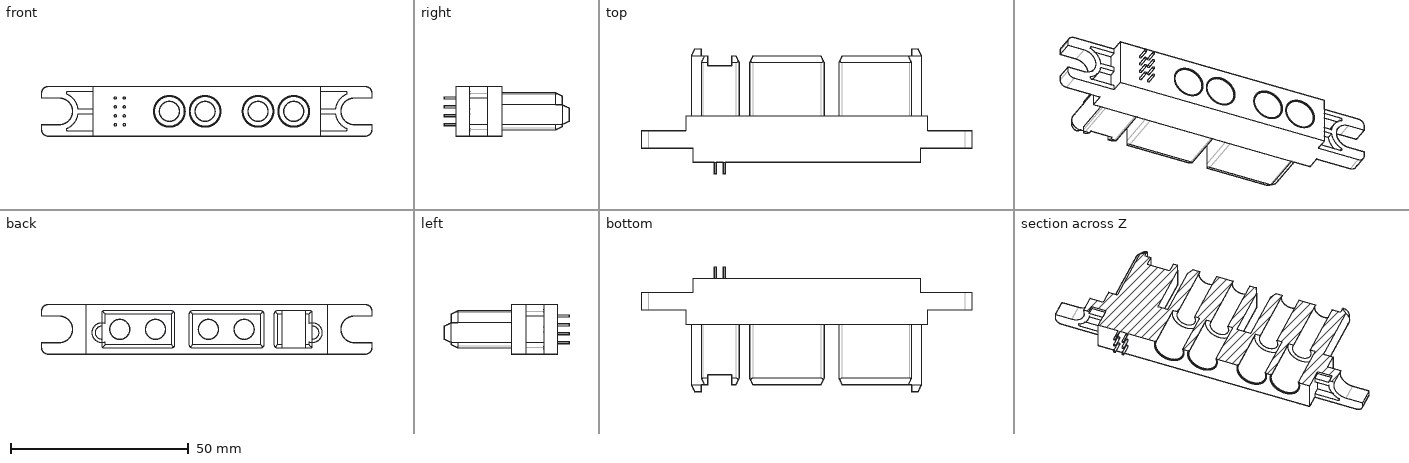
import cadquery as cq
import math

length = 93.0
height = 14.0
body_depth = 13.0
front_width = 64.1
rear_width = 68.0
ear_front = 3.9
ear_back = 8.9
ear_corner_radius = 1.95
slot_radius = 3.7
slot_center_from_end = 5.0

pocket_depth = 2.0
pocket_arc_radius = 5.3
pocket_tip_offset = 2.0
pocket_half_height = 5.6
pocket_tip_fillet = 0.4
rib_thickness = 1.4

signal_block = (-29.7, -19.0)
middle_block = (-16.1, 4.9)
right_block = (9.0, 29.5)
block_height = 10.5
block_length = 16.9
block_edge_radius = 0.9
post_side_edge_radius = 0.6
tip_length = 1.95
tip_inset = 0.9
notch_width = 6.7
notch_depth = 2.8

post_radius = 2.8
post_length = 18.9
post_z = -0.9

hole_pitch = 10.0
hole_centers = [-5.5, 19.4]
hole_diameter = 5.6
bore_diameter = 8.4
bore_depth = body_depth
rim_diameter = 8.9
rim_depth = 0.3

pin_diameter = 0.65
pin_length = 3.3
pin_pitch = 2.5
pin_columns = 2
pin_rows = 4
pin_center_x = -24.5

block_back = body_depth + block_length
post_back = body_depth + post_length


def box(x_range, y_range, z_range):
    """Box between the given limits on each axis."""
    sizes = [high - low for low, high in (x_range, y_range, z_range)]
    corner = (x_range[0], y_range[0], z_range[0])
    return cq.Workplane("XY").box(*sizes, centered=False).translate(corner)


def xz_plane(y):
    """Workplane at the given Y with local x = X and local y = Z; its normal is -Y."""
    return cq.Workplane("XZ", origin=(0, y, 0))


def cylinder(x, z, radius, y_start, y_end):
    """Cylinder along Y."""
    return xz_plane(y_start).center(x, z).circle(radius).extrude(y_start - y_end)


def centered(size):
    """Limits of a span centred on zero."""
    return (-size / 2, size / 2)


def make_body():
    full_height = centered(height)
    ears = box(centered(length), (ear_front, ear_back), full_height)
    ears = ears.edges("|Y").fillet(ear_corner_radius)
    front = box(centered(front_width), (0, ear_back), full_height)
    rear = box(centered(rear_width), (ear_front, body_depth), full_height)
    rear = rear.cut(box(centered(length), (ear_front, ear_back), full_height))
    return ears.union(front).union(rear)


def make_ear_cutout():
    """Open slot and two front pockets of the left ear."""
    end = -length / 2
    center = end + slot_center_from_end
    slot = box((end, center), (ear_front, ear_back), (-slot_radius, slot_radius))
    slot = slot.union(cylinder(center, 0, slot_radius, ear_front, ear_back))

    floor = ear_front + pocket_depth
    pocket = box(
        (center + pocket_tip_offset, -front_width / 2),
        (ear_front, floor),
        centered(2 * pocket_half_height),
    )
    pocket = pocket.edges("|Y and <X").fillet(pocket_tip_fillet)
    rib = box(centered(length), (ear_front, floor), centered(rib_thickness))
    slot_wall = cylinder(center, 0, pocket_arc_radius, ear_front, floor)
    return slot.union(pocket.cut(rib).cut(slot_wall))


def make_block(sides, left_radius, right_radius):
    """Rear block with rounded long edges and a tip bevelled on all four sides."""
    shoulder = block_back - tip_length
    shank = box(sides, (body_depth, shoulder), centered(block_height))
    taper_angle = math.degrees(math.atan(tip_inset / tip_length))
    tip = xz_plane(shoulder).center(sum(sides) / 2, 0)
    tip = tip.rect(sides[1] - sides[0], block_height).extrude(-tip_length, taper=taper_angle)

    envelope = box(sides, (body_depth, block_back), centered(block_height))
    envelope = envelope.edges("|Y and <X").fillet(left_radius)
    envelope = envelope.edges("|Y and >X").fillet(right_radius)
    return shank.union(tip).intersect(envelope)


def make_post(x, side):
    """Round post centred on a block face; past the block only its outer half (side) remains."""
    post = cylinder(x, post_z, post_radius, body_depth, post_back)
    post = post.faces(">Y").chamfer(tip_length, tip_inset)
    inner_half = box(
        sorted((x, x - side * post_radius)),
        (block_back, post_back),
        (post_z - post_radius, post_z + post_radius),
    )
    return post.cut(inner_half)


def make_pins():
    pins = xz_plane(0).center(pin_center_x, 0)
    pins = pins.rarray(pin_pitch, pin_pitch, pin_columns, pin_rows)
    return pins.circle(pin_diameter / 2).extrude(pin_length)


result = make_body()

left_cutout = make_ear_cutout()
result = result.cut(left_cutout).cut(left_cutout.mirror("YZ"))

result = result.union(make_block(signal_block, post_side_edge_radius, block_edge_radius))
result = result.union(make_block(middle_block, block_edge_radius, block_edge_radius))
result = result.union(make_block(right_block, block_edge_radius, post_side_edge_radius))

result = result.union(make_post(signal_block[0], -1))
result = result.union(make_post(right_block[1], 1))

notch = box(
    (pin_center_x - notch_width / 2, pin_center_x + notch_width / 2),
    (block_back - notch_depth, block_back),
    centered(block_height),
)
result = result.cut(notch)

for pair_center in hole_centers:
    for x in (pair_center - hole_pitch / 2, pair_center + hole_pitch / 2):
        result = result.cut(cylinder(x, 0, hole_diameter / 2, 0, block_back))
        result = result.cut(cylinder(x, 0, bore_diameter / 2, 0, bore_depth))
        result = result.cut(cylinder(x, 0, rim_diameter / 2, 0, rim_depth))

result = result.union(make_pins())